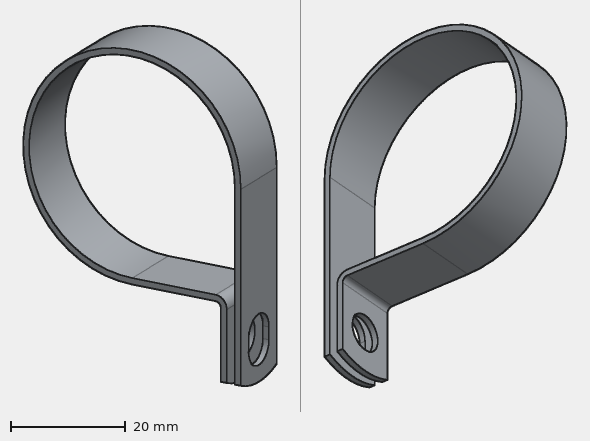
import cadquery as cq
import math

strip_thickness = 1.219
strip_width = 12.7
loop_inner_diameter = 41.275
tab_gap = 1.6
bend_inner_radius = 1.07
tab_end_drop = 38.02
tab_end_radius = 15.8
hole_diameter = 7.14
slot_length = 9.525
hole_to_tab_end = 7.93

loop_inner_radius = loop_inner_diameter / 2
loop_outer_radius = loop_inner_radius + strip_thickness
bend_outer_radius = bend_inner_radius + strip_thickness
tab_end_z = -tab_end_drop
hole_z = tab_end_z + hole_to_tab_end

short_tab_right_x = loop_inner_radius - tab_gap
short_tab_left_x = short_tab_right_x - strip_thickness
gap_middle_x = loop_inner_radius - tab_gap / 2
bend_center_x = short_tab_left_x - bend_inner_radius
bend_center_z = -loop_outer_radius - bend_inner_radius


def loop_midpoint(radius):
    """Middle of the three-quarter loop, at its upper left."""
    offset = radius * math.sqrt(0.5)
    return (-offset, offset)


def bend_midpoint(radius):
    """Middle of the quarter bend, at its upper right."""
    offset = radius * math.sqrt(0.5)
    return (bend_center_x + offset, bend_center_z + offset)


def make_strip():
    """Long tab, three-quarter loop, flat run, bend and short tab in one strip."""
    return (
        cq.Workplane("XZ")
        .moveTo(loop_outer_radius, tab_end_z)
        .lineTo(loop_outer_radius, 0)
        .threePointArc(loop_midpoint(loop_outer_radius), (0, -loop_outer_radius))
        .lineTo(bend_center_x, -loop_outer_radius)
        .threePointArc(bend_midpoint(bend_inner_radius), (short_tab_left_x, bend_center_z))
        .lineTo(short_tab_left_x, tab_end_z)
        .lineTo(short_tab_right_x, tab_end_z)
        .lineTo(short_tab_right_x, bend_center_z)
        .threePointArc(bend_midpoint(bend_outer_radius), (bend_center_x, -loop_inner_radius))
        .lineTo(0, -loop_inner_radius)
        .threePointArc(loop_midpoint(loop_inner_radius), (loop_inner_radius, 0))
        .lineTo(loop_inner_radius, tab_end_z)
        .close()
        .extrude(strip_width / 2, both=True)
    )


def make_end_envelope():
    """Block around the whole strip whose underside is the curve of the tab ends."""
    half_width = strip_width / 2
    arc_rise = tab_end_radius - math.sqrt(tab_end_radius**2 - half_width**2)
    corner_z = tab_end_z + arc_rise
    return (
        cq.Workplane("YZ")
        .moveTo(-half_width, loop_outer_radius)
        .lineTo(-half_width, corner_z)
        .threePointArc((0, tab_end_z), (half_width, corner_z))
        .lineTo(half_width, loop_outer_radius)
        .close()
        .extrude(loop_outer_radius, both=True)
    )


def make_round_hole():
    """Round screw hole, cut along X as far as the middle of the gap."""
    return (
        cq.Workplane("YZ", origin=(0, 0, hole_z))
        .circle(hole_diameter / 2)
        .extrude(gap_middle_x)
    )


def make_slot():
    """Upright slot of the same width, cut along X from the middle of the gap."""
    upright_angle = 90
    return (
        cq.Workplane("YZ", origin=(gap_middle_x, 0, hole_z))
        .slot2D(slot_length, hole_diameter, upright_angle)
        .extrude(loop_outer_radius - gap_middle_x)
    )


result = make_strip().intersect(make_end_envelope())
result = result.cut(make_round_hole()).cut(make_slot())